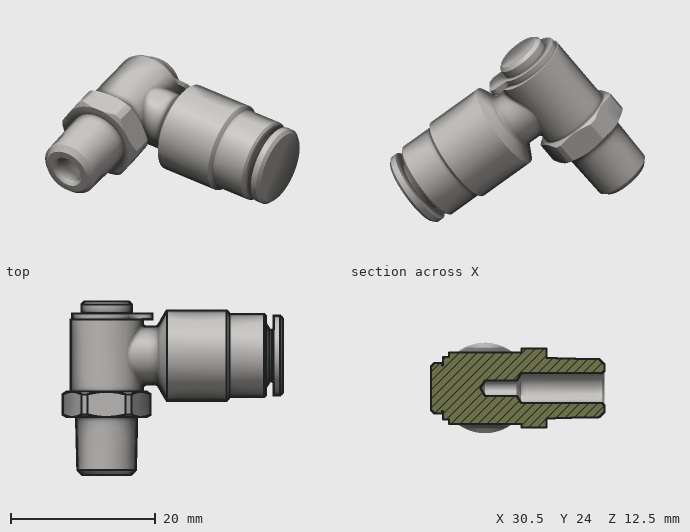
import cadquery as cq
import math


body_radius = 5.0
body_half_length = 5.0
cap_radius = 3.5
cap_end = 7.5
cap_chamfer = 0.45
clip_groove_radius = 3.2

clip_thickness = 0.85
clip_clearance = 0.05
clip_radius = 4.38
clip_center_x = -0.37
clip_tab_end = 6.35
clip_tab_half_width = 2.3
clip_root_fillet = 1.15
clip_tab_corner = 1.28

hex_length = 3.5
hex_across_flats = 11.0
hex_corner_radius = 6.1
hex_chamfer_radius = 5.48
hex_chamfer_angle = 30

thread_length = 8.0
thread_base_radius = 4.23
thread_end_radius = 4.05
thread_chamfer_length = 0.73
thread_tip_radius = 3.32

bore_radius = 2.05
bore_chamfer = 0.3
pilot_radius = 1.05
drill_tip_half_angle = 59

neck_radius = 4.02
neck_fillet = 0.4
sleeve_root_fillet = 0.5
sleeve_cone_angle = 60
sleeve_diameter = 12.5
sleeve_radius = sleeve_diameter / 2
sleeve_start = 8.35
sleeve_end = 16.53
sleeve_step_chamfer = 0.45
socket_radius = 5.75
socket_end = 22.0
socket_chamfer = 0.3
mouth_radius = 4.38
collar_neck_radius = 3.55
collar_neck_start = 22.5
collar_flare_start = 22.83
collar_flare_radius = 3.68
collar_flange_start = 23.07
collar_radius = 5.5
collar_chamfer = 0.43
collar_end = 24.35

hex_top = -body_half_length
hex_bottom = hex_top - hex_length
thread_end = hex_bottom - thread_length


def rise(run, angle):
    """Height gained over a run at an angle in degrees."""
    return run * math.tan(math.radians(angle))


def revolve_about_y(points):
    """Revolve a closed (radius, y) outline about the Y axis."""
    return cq.Workplane("XY").polyline(points).close().revolve(360, (0, 0, 0), (0, 1, 0))


def cylinder_along_y(radius, y_start, length):
    return cq.Workplane("XZ", origin=(0, y_start, 0)).circle(radius).extrude(-length)


def make_body():
    return cylinder_along_y(body_radius, hex_top, 2 * body_half_length)


def make_cap():
    """Chamfered cap with a groove at its root, slightly wider than the clip."""
    groove_end = body_half_length + clip_thickness + clip_clearance
    cap = cylinder_along_y(cap_radius, groove_end, cap_end - groove_end)
    groove_floor = cylinder_along_y(clip_groove_radius, body_half_length, groove_end - body_half_length)
    return cap.faces(">Y").chamfer(cap_chamfer).union(groove_floor)


def make_clip():
    """Off-centre disc with a round-cornered tab pointing along +X."""
    disc = (
        cq.Workplane("XZ", origin=(0, body_half_length, 0))
        .center(clip_center_x, 0)
        .circle(clip_radius)
        .extrude(-clip_thickness)
    )
    tab = (
        cq.Workplane("XZ", origin=(0, body_half_length, 0))
        .center(clip_tab_end / 2, 0)
        .rect(clip_tab_end, 2 * clip_tab_half_width)
        .extrude(-clip_thickness)
        .edges("|Y and >X")
        .fillet(clip_tab_corner)
    )
    root_x = clip_center_x + math.sqrt(clip_radius**2 - clip_tab_half_width**2)
    clip = disc.union(tab)
    for side in (-1, 1):
        root = (root_x, body_half_length + clip_thickness / 2, side * clip_tab_half_width)
        clip = clip.edges(cq.NearestToPointSelector(root)).fillet(clip_root_fillet)
    return clip


def make_hexagon():
    """Hexagon with corners on X, turned down at the corners and chamfered at both ends."""
    across_corners = hex_across_flats / math.cos(math.pi / 6)
    prism = cq.Workplane("XZ", origin=(0, hex_top, 0)).polygon(6, across_corners).extrude(hex_length)
    chamfer_height = rise(hex_corner_radius - hex_chamfer_radius, hex_chamfer_angle)
    envelope = revolve_about_y([
        (0, hex_bottom),
        (hex_chamfer_radius, hex_bottom),
        (hex_corner_radius, hex_bottom + chamfer_height),
        (hex_corner_radius, hex_top - chamfer_height),
        (hex_chamfer_radius, hex_top),
        (0, hex_top),
    ])
    return prism.intersect(envelope)


def make_thread():
    return revolve_about_y([
        (0, thread_end),
        (thread_tip_radius, thread_end),
        (thread_end_radius, thread_end + thread_chamfer_length),
        (thread_base_radius, hex_bottom),
        (0, hex_bottom),
    ])


def make_bore():
    """Chamfered bore up to the body, then a pilot hole to the branch axis, with drill-point ends."""
    tip_slope_angle = 90 - drill_tip_half_angle
    shoulder_height = rise(bore_radius - pilot_radius, tip_slope_angle)
    return revolve_about_y([
        (0, thread_end),
        (bore_radius + bore_chamfer, thread_end),
        (bore_radius, thread_end + bore_chamfer),
        (bore_radius, hex_top),
        (pilot_radius, hex_top + shoulder_height),
        (pilot_radius, 0),
        (0, rise(pilot_radius, tip_slope_angle)),
    ])


def make_neck():
    return cq.Workplane("YZ").circle(neck_radius).extrude(sleeve_start)


def make_sleeve():
    """Sleeve, socket and release collar as one turned profile, starting at the neck."""
    cone_start = sleeve_start - (sleeve_radius - neck_radius) / rise(1, sleeve_cone_angle)
    turn = math.radians(sleeve_cone_angle)
    tangent_length = sleeve_root_fillet * math.tan(turn / 2)
    arc_start_x = cone_start - tangent_length
    arc_center_r = neck_radius + sleeve_root_fillet

    def arc_point(angle):
        return (
            arc_start_x + sleeve_root_fillet * math.sin(angle),
            arc_center_r - sleeve_root_fillet * math.cos(angle),
        )

    return (
        cq.Workplane("XY")
        .moveTo(arc_start_x, 0)
        .lineTo(*arc_point(0))
        .threePointArc(arc_point(turn / 2), arc_point(turn))
        .lineTo(sleeve_start, sleeve_radius)
        .lineTo(sleeve_end, sleeve_radius)
        .lineTo(sleeve_end + sleeve_step_chamfer, socket_radius)
        .lineTo(socket_end - socket_chamfer, socket_radius)
        .lineTo(socket_end, socket_radius - socket_chamfer)
        .lineTo(socket_end, mouth_radius)
        .lineTo(collar_neck_start, collar_neck_radius)
        .lineTo(collar_flare_start, collar_neck_radius)
        .lineTo(collar_flange_start, collar_flare_radius)
        .lineTo(collar_flange_start, collar_radius)
        .lineTo(collar_end - collar_chamfer, collar_radius)
        .lineTo(collar_end, collar_radius - collar_chamfer)
        .lineTo(collar_end, 0)
        .close()
        .revolve(360, (0, 0, 0), (1, 0, 0))
    )


elbow = make_body().union(make_neck())
elbow = elbow.edges("not (%CIRCLE or %LINE)").fillet(neck_fillet)

result = (
    elbow.union(make_sleeve())
    .union(make_cap())
    .union(make_clip())
    .union(make_hexagon())
    .union(make_thread())
    .cut(make_bore())
)